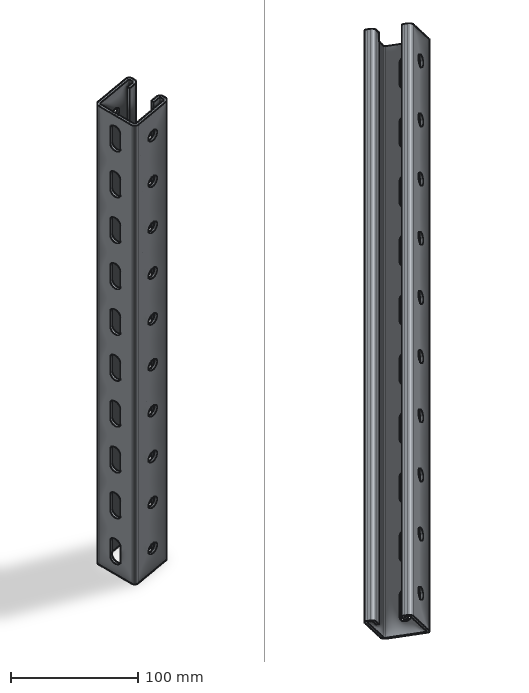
import cadquery as cq

length = 500.0
width = 41.0
depth = 41.0
wall = 2.5
outer_radius = 3.5
mouth_width = 22.0
lip_depth = 10.0

pitch = 50.0
hole_diameter = 10.5
hole_offset = 1.0
slot_width = 10.5
slot_length = 27.0

perforation_count = round(length / pitch)
perforation_heights = [pitch * (i + 0.5) for i in range(perforation_count)]
inner_radius = outer_radius - wall
lip_width = (width - mouth_width) / 2


def rounded_bar(size_x, size_y, radius):
    """Solid bar along Z with rounded lengthwise edges."""
    bar = cq.Workplane("XY").box(size_x, size_y, length, centered=(True, True, False))
    return bar.edges("|Z").fillet(radius)


def lipped_wall(side):
    """Hollow rounded tube beside one edge of the mouth, leaving its flange and lip."""
    center_x = side * (mouth_width + lip_width) / 2
    tube = rounded_bar(lip_width, 2 * lip_depth, outer_radius)
    bore = rounded_bar(lip_width - 2 * wall, 2 * (lip_depth - wall), inner_radius)
    lower_half = (
        cq.Workplane("XY")
        .box(lip_width, lip_depth, length, centered=(True, False, False))
        .translate((0, -lip_depth, 0))
    )
    return tube.cut(bore).cut(lower_half).translate((center_x, depth / 2 - lip_depth, 0))


def channel():
    """Rounded box section, opened on +Y and fitted with two inward-turned lips."""
    tube = rounded_bar(width, depth, outer_radius)
    bore = rounded_bar(width - 2 * wall, depth - 2 * wall, inner_radius)
    mouth = (
        cq.Workplane("XY")
        .box(width - 2 * outer_radius, lip_depth, length, centered=(True, False, False))
        .translate((0, depth / 2 - lip_depth, 0))
    )
    body = tube.cut(bore).cut(mouth)
    for side in (-1, 1):
        body = body.union(lipped_wall(side))
    return body


def web_slots():
    """Lengthwise slots through the web on the -Y side."""
    return (
        cq.Workplane("XZ")
        .pushPoints([(0, z) for z in perforation_heights])
        .slot2D(slot_length, slot_width, 90)
        .extrude(depth / 2)
    )


def side_holes():
    """Round holes through both side walls."""
    return (
        cq.Workplane("YZ")
        .pushPoints([(hole_offset, z) for z in perforation_heights])
        .circle(hole_diameter / 2)
        .extrude(width / 2, both=True)
    )


result = channel().cut(web_slots()).cut(side_holes())